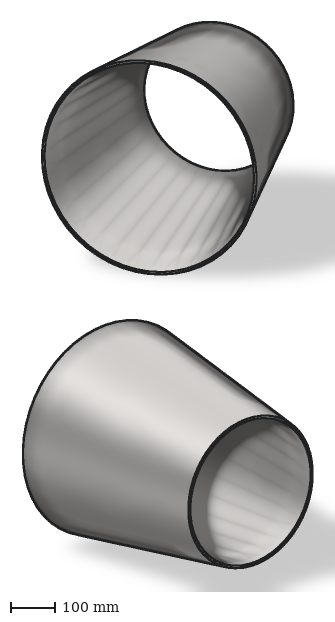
import cadquery as cq

large_diameter = 512.0
small_diameter = 362.0
length = 508.0
wall = 6.0

large_radius = large_diameter / 2
small_radius = small_diameter / 2

wall_section = (
    cq.Workplane("YZ")
    .moveTo(0, -(large_radius - wall))
    .lineTo(0, -large_radius)
    .lineTo(length, -small_radius)
    .lineTo(length, -(small_radius - wall))
    .close()
)

result = wall_section.revolve(360, (0, 0, 0), (1, 0, 0))